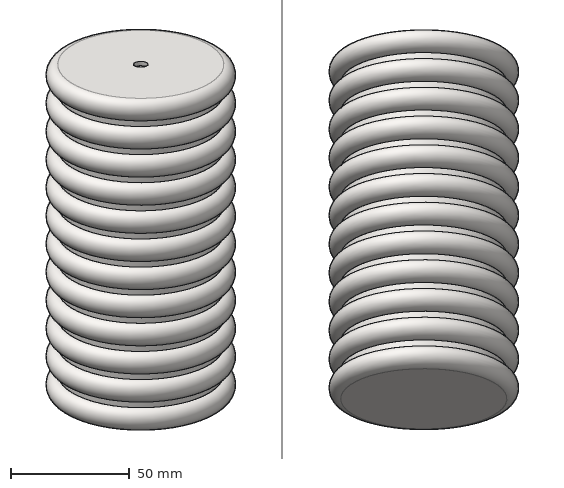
import cadquery as cq

total_height = 153.0
outer_diameter = 80.0
core_diameter = 70.0
hole_diameter = 6.0
hole_depth = 2.0
ring_count = 12

bead_radius = (outer_diameter - core_diameter) / 2
core_radius = core_diameter / 2
ring_pitch = (total_height - 2 * bead_radius) / (ring_count - 1)


def ribbed_body():
    """Solid of revolution: a core wrapped in evenly spaced half-round rings."""
    profile = cq.Workplane("XZ")
    for index in range(ring_count):
        ring_middle = bead_radius + index * ring_pitch
        profile = profile.lineTo(core_radius, ring_middle - bead_radius).threePointArc(
            (core_radius + bead_radius, ring_middle),
            (core_radius, ring_middle + bead_radius),
        )
    return profile.lineTo(0, total_height).close().revolve(360, (0, 0, 0), (0, 1, 0))


def center_hole():
    """Cylinder that removes the shallow blind hole in the middle of the top face."""
    hole_floor = cq.Workplane("XY").workplane(offset=total_height - hole_depth)
    return hole_floor.circle(hole_diameter / 2).extrude(hole_depth)


result = ribbed_body().cut(center_hole())